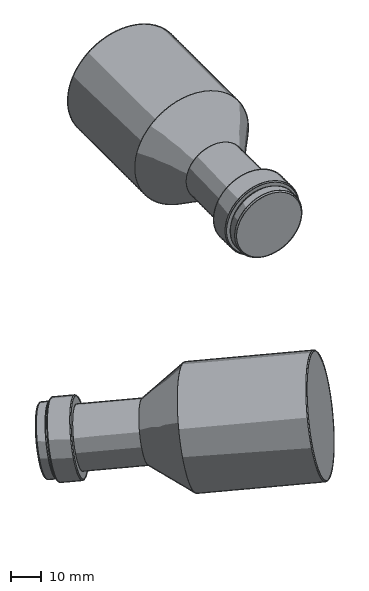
import cadquery as cq

total_length = 92.1
body_length = 43.0
cone_length = 15.0
collar_start = 79.9
collar_width = 8.1
groove_width = 0.7

body_diameter = 43.0
neck_diameter = 22.0
collar_diameter = 28.0
groove_diameter = 24.3
lip_diameter = 25.4

edge_chamfer = 0.4
lip_chamfer = 0.5

cone_end = body_length + cone_length
collar_end = collar_start + collar_width
lip_start = collar_end + groove_width
lip_length = total_length - lip_start


def cylinder(start, length, diameter):
    """Solid cylinder along +X, beginning at the given X position."""
    return cq.Workplane("YZ", origin=(start, 0, 0)).circle(diameter / 2).extrude(length)


body = cylinder(0, body_length, body_diameter).faces("<X").chamfer(edge_chamfer)

cone = (
    cq.Workplane("XY")
    .moveTo(body_length, 0)
    .lineTo(body_length, body_diameter / 2)
    .lineTo(cone_end, neck_diameter / 2)
    .lineTo(cone_end, 0)
    .close()
    .revolve(360, (0, 0, 0), (1, 0, 0))
)

neck = cylinder(cone_end, collar_start - cone_end, neck_diameter)
collar = cylinder(collar_start, collar_width, collar_diameter).edges("%CIRCLE").chamfer(edge_chamfer)
groove = cylinder(collar_end, groove_width, groove_diameter)
lip = cylinder(lip_start, lip_length, lip_diameter).faces(">X").chamfer(lip_chamfer)

result = body.union(cone).union(neck).union(collar).union(groove).union(lip)